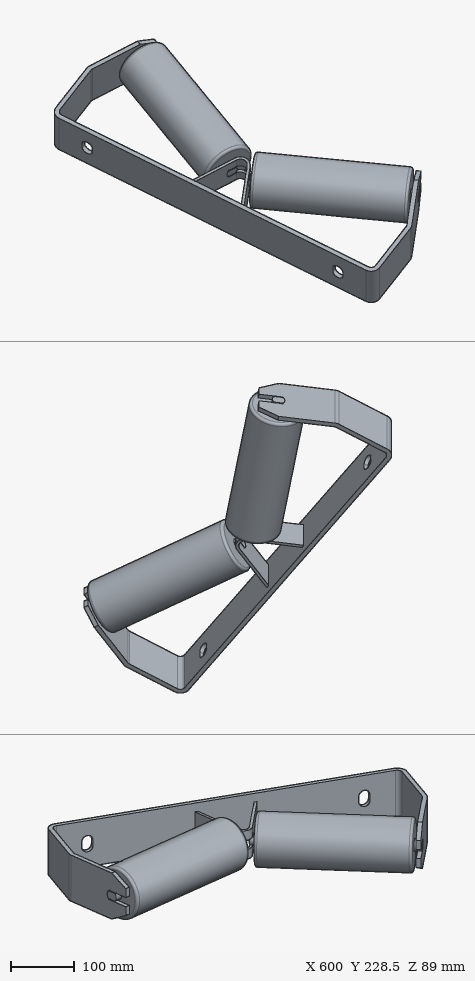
import cadquery as cq
import math


BRACKET_LENGTH = 600.0
BRACKET_WIDTH = 81.0
BRACKET_THICKNESS = 8.0
BRACKET_BEND_RADIUS = 12.0
BASE_OUTER_Y = 0.0

ROLLER_TILT = 25.0
ROLLER_DIAMETER = 89.0
ROLLER_LENGTH = 250.0
ROLLER_EDGE_RADIUS = 5.0
ROLLER_CENTER_X = -135.5
ROLLER_CENTER_Y = 137.0
END_GAP = 5.0

SHAFT_DIAMETER = 20.0
SHAFT_FLAT_WIDTH = 14.0
SHOULDER_GAP = 1.0

SHAFT_SLOT_WIDTH = 16.0

ARM_TIP_REACH = 31.0
ARM_CORNER_LENGTH = 31.0
ARM_CORNER_WIDTH = 17.0

SUPPORT_WIDTH = 50.5
SUPPORT_THICKNESS = 5.0
SUPPORT_BEND_RADIUS = 13.0

MOUNT_SLOT_SPACING = 464.5
MOUNT_SLOT_LENGTH = 28.0
MOUNT_SLOT_WIDTH = 18.5

TILT = math.radians(ROLLER_TILT)
AXIS = cq.Vector(math.cos(TILT), -math.sin(TILT), 0)
ARM_DIRECTION = cq.Vector(math.sin(TILT), math.cos(TILT), 0)
ROLLER_CENTER = cq.Vector(ROLLER_CENTER_X, ROLLER_CENTER_Y, 0)
BASE_INNER_Y = BASE_OUTER_Y + BRACKET_THICKNESS
PLATE_DISTANCE = ROLLER_LENGTH / 2 + END_GAP
ARM_OUTER_DISTANCE = PLATE_DISTANCE + BRACKET_THICKNESS
SUPPORT_INNER_DISTANCE = PLATE_DISTANCE + SUPPORT_THICKNESS


def roller_plane(distance):
    """Plane across the left roller axis; local x runs along the arm and local y along Z."""
    return cq.Plane(origin=ROLLER_CENTER + AXIS * distance, xDir=ARM_DIRECTION, normal=AXIS)


def mirrored_point(point):
    return cq.Vector(-point.x, point.y, point.z)


def point_at_x(start, x):
    """Point with the given X on the line through start along the arm direction."""
    return start + ARM_DIRECTION * ((x - start.x) / ARM_DIRECTION.x)


def point_at_y(start, y):
    """Point with the given Y on the line through start along the arm direction."""
    return start + ARM_DIRECTION * ((y - start.y) / ARM_DIRECTION.y)


def bent_strip(points, bend_radius, width, thickness):
    """Flat strip that follows the given middle line, with every corner rounded."""
    path = cq.Wire.makePolygon(points)
    path = path.fillet(bend_radius, path.Vertices()[1:-1])
    start_plane = cq.Plane(origin=points[0], xDir=(0, 0, 1), normal=points[1] - points[0])
    return cq.Workplane(start_plane).rect(width, thickness).sweep(cq.Workplane(path))


def flatted_shaft(start, length):
    """Round bar with two flats, along the left roller axis."""
    bar = cq.Workplane(roller_plane(start)).circle(SHAFT_DIAMETER / 2).extrude(length)
    flats = cq.Workplane(roller_plane(start)).rect(SHAFT_DIAMETER, SHAFT_FLAT_WIDTH).extrude(length)
    return bar.intersect(flats)


def arm_corner_cuts():
    """The two corners taken off the tip of the left arm."""
    cuts = cq.Workplane(roller_plane(-ARM_OUTER_DISTANCE))
    for side in (-1, 1):
        edge = side * BRACKET_WIDTH / 2
        cuts = cuts.polyline([
            (ARM_TIP_REACH, edge),
            (ARM_TIP_REACH - ARM_CORNER_LENGTH, edge),
            (ARM_TIP_REACH, edge - side * ARM_CORNER_WIDTH),
        ]).close()
    return cuts.extrude(BRACKET_THICKNESS)


def shaft_slot(start, thickness, reach):
    """Slot through a plate on the left side, with a round bottom that the shaft rests on.

    It starts at the given distance along the roller axis and runs up past the shaft by the reach.
    """
    radius = SHAFT_DIAMETER / 2
    half_width = SHAFT_SLOT_WIDTH / 2
    arc_start = -math.sqrt(radius ** 2 - half_width ** 2)
    return (
        cq.Workplane(roller_plane(start))
        .moveTo(reach, half_width)
        .lineTo(arc_start, half_width)
        .threePointArc((-radius, 0), (arc_start, -half_width))
        .lineTo(reach, -half_width)
        .close()
        .extrude(thickness)
    )


def mounting_slots():
    return (
        cq.Workplane("XZ", origin=(0, BASE_INNER_Y, 0))
        .pushPoints([(-MOUNT_SLOT_SPACING / 2, 0), (MOUNT_SLOT_SPACING / 2, 0)])
        .slot2D(MOUNT_SLOT_LENGTH, MOUNT_SLOT_WIDTH, 90)
        .extrude(BRACKET_THICKNESS)
    )


def make_bracket():
    """Strip bent into a base, two uprights and two arms that lean inward."""
    half = BRACKET_THICKNESS / 2
    shaft_crossing = ROLLER_CENTER - AXIS * (PLATE_DISTANCE + half)
    tip = shaft_crossing + ARM_DIRECTION * ARM_TIP_REACH
    bend = point_at_x(shaft_crossing, half - BRACKET_LENGTH / 2)
    corner = cq.Vector(bend.x, BASE_OUTER_Y + half, 0)
    left = [tip, bend, corner]
    right = [mirrored_point(point) for point in reversed(left)]
    bracket = bent_strip(left + right, BRACKET_BEND_RADIUS, BRACKET_WIDTH, BRACKET_THICKNESS)
    arm_slot = shaft_slot(-ARM_OUTER_DISTANCE, BRACKET_THICKNESS, ARM_TIP_REACH)
    for arm_cut in (arm_corner_cuts(), arm_slot):
        bracket = bracket.cut(arm_cut).cut(arm_cut.mirror("YZ"))
    return bracket.cut(mounting_slots())


def make_support():
    """Inverted V that stands on the base, slotted over its apex for the inner shaft ends."""
    shaft_crossing = ROLLER_CENTER + AXIS * (PLATE_DISTANCE + SUPPORT_THICKNESS / 2)
    apex = point_at_x(shaft_crossing, 0)
    foot = point_at_y(shaft_crossing, BASE_OUTER_Y)
    points = [foot, apex, mirrored_point(foot)]
    support = bent_strip(points, SUPPORT_BEND_RADIUS, SUPPORT_WIDTH, SUPPORT_THICKNESS)
    below_base_face = (
        cq.Workplane("XZ", origin=(0, BASE_INNER_Y, 0))
        .rect(BRACKET_LENGTH, BRACKET_WIDTH)
        .extrude(2 * BRACKET_THICKNESS)
    )
    leg_slot = shaft_slot(PLATE_DISTANCE, SUPPORT_THICKNESS, SHAFT_DIAMETER)
    apex_slot = (
        cq.Workplane("XY", origin=(0, shaft_crossing.y, 0))
        .box(
            2 * (SUPPORT_THICKNESS - shaft_crossing.x),
            apex.y - shaft_crossing.y,
            SHAFT_SLOT_WIDTH,
            centered=(True, False, True),
        )
    )
    for cut in (below_base_face, leg_slot, leg_slot.mirror("YZ"), apex_slot):
        support = support.cut(cut)
    return support


def make_roller(side):
    """Left (-1) or right (1) roller, with shaft ends flatted where they sit in the plates."""
    roller = (
        cq.Workplane(roller_plane(-ROLLER_LENGTH / 2))
        .circle(ROLLER_DIAMETER / 2)
        .extrude(ROLLER_LENGTH)
        .edges("%CIRCLE")
        .fillet(ROLLER_EDGE_RADIUS)
    )
    shoulder_distance = PLATE_DISTANCE - SHOULDER_GAP
    shaft = (
        cq.Workplane(roller_plane(-shoulder_distance))
        .circle(SHAFT_DIAMETER / 2)
        .extrude(2 * shoulder_distance)
    )
    shaft_ends = flatted_shaft(-ARM_OUTER_DISTANCE, ARM_OUTER_DISTANCE + SUPPORT_INNER_DISTANCE)
    left_roller = roller.union(shaft).union(shaft_ends)
    if side < 0:
        return left_roller
    return left_roller.mirror("YZ")


bracket = make_bracket()
support = make_support()
rollers = [make_roller(side) for side in (-1, 1)]

result = cq.Compound.makeCompound(
    [body.solids().val() for body in (bracket, support, *rollers)]
)